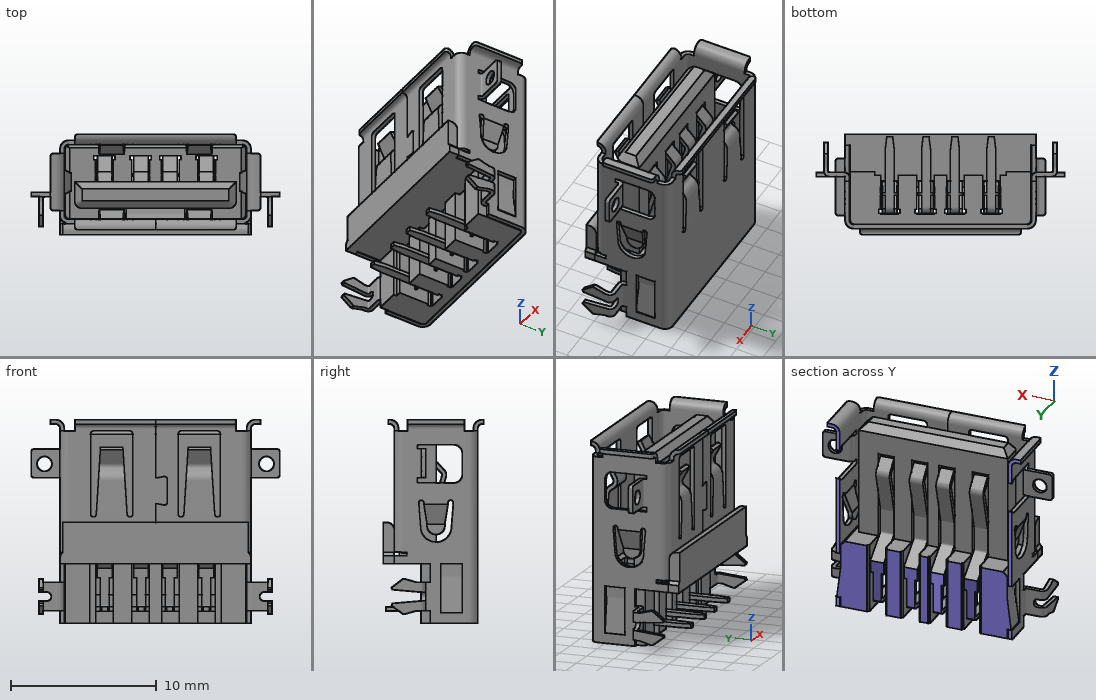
import cadquery as cq
import math


SHEET = 0.3
SHELL_HALF_X = 6.57
SHELL_HALF_Y = 2.87
SHELL_CORNER = 0.62
SHELL_TOP = 13.24
INNER_HALF_X = SHELL_HALF_X - SHEET
INNER_HALF_Y = SHELL_HALF_Y - SHEET
WALL_MID_X = SHELL_HALF_X - SHEET / 2
WALL_MID_Y = SHELL_HALF_Y - SHEET / 2

LIP_TOP = 14.0
LIP_BEND = 1.5 * SHEET
LIP_CORNER = 0.19
LONG_LIP_LENGTH = 11.08
LONG_LIP_REACH = 0.41
SIDE_LIP_LENGTH = 3.93
SIDE_LIP_REACH = 0.65

STEP_Z = 4.09
LOWER_EDGE_Y = -0.41
SLIT_BOTTOM = 4.65
SLIT_TOP = 4.89
SLIT_END_Y = -2.0

SEAM_X = 0.02
SEAM_GAP = 0.003
KEY_LENGTH = 0.82
KEY_MID_Z = 9.11
KEY_ROOT_HALF = 0.87
KEY_TIP_HALF = 1.03
KEY_ROOT_ROUND = 0.03
KEY_TIP_ROUND = 0.2

SPRING_X = 3.01
SPRING_WINDOW_HALF = 1.45
SPRING_WINDOW_TOP = SHELL_TOP
SPRING_WINDOW_CORNER = 0.24
SPRING_ROOT_Z = 7.47
SPRING_SLOT_END = 7.32
SPRING_ROOT_HALF = 1.06
SPRING_TIP_HALF = 0.77
SPRING_TIP_Z = 12.09
SPRING_KNEE = (-2.68, 10.15)
SPRING_PEAK = (-1.9, 10.65)
SPRING_END = (-2.67, 12.02)
SPRING_KNEE_BEND = 0.65
SPRING_PEAK_BEND = 0.48

EAR_WINDOW_Z = (9.66, 12.26)
EAR_WINDOW_Y = (-1.11, 1.8)
EAR_WINDOW_CORNER = 0.56
EAR_RELIEF_DEPTH = 0.17
EAR_Z = (10.0, 11.99)
EAR_MID_Y = -0.85
EAR_END_X = 8.55
EAR_HOLE_X = 7.63
EAR_HOLE_Z = 10.96
EAR_HOLE_DIAMETER = 1.01
EAR_CORNER = 0.2
TIGHT_BEND = 0.24

SIDE_TAB_ROOT_Z = 8.23
SIDE_TAB_BEND_Z = 6.82
SIDE_TAB_END_Z = 6.1
SIDE_TAB_OFFSET = 0.46
SIDE_TAB_ROOT_HALF = 0.84
SIDE_TAB_END_HALF = 0.62
SIDE_SLOT_TOP_HALF = 1.18
SIDE_SLOT_ARC_HALF = 1.05
SIDE_SLOT_ARC_Z = 6.45
SIDE_SLOT_TOP = 8.46
SIDE_SLOT_BOTTOM = 5.6

LEG_MID_Z = 1.85
LEG_PLATE_HALF = 1.0
LEG_PLATE_Y = -0.87
LEG_PRONG_X = 7.87
LEG_END_Y = -3.06
LEG_NOTCH_X = 7.16
LEG_NOTCH = 0.6
PRONG_ROOT_Y = -1.35
PRONG_TIP = ((-2.14, 1.21), (-2.27, 1.21), (LEG_END_Y, 0.62), (-3.0, 0.46))

LATCH_Y = (0.35, 1.8)
LATCH_Z = (0.74, 4.09)
LATCH_RAMP_TOP = 3.23
LATCH_HEIGHT = 0.3

BASE_HALF_X = 6.2
BASE_FRONT_Y = -2.53
BASE_CORNER = 0.29
BASE_TOP = 5.13
BASE_CHAMFER_X = 0.3
BASE_CHAMFER_Y = 0.22
BLOCK_FRONT_Y = -1.05
RIB_FRONT_Y = -0.8
RIB_ZONE_HALF = 4.51
FLANGE_FRONT_Y = -3.63
FLANGE_TOP = 6.95
FLANGE_HALF_X = 6.38
FLANGE_ROUND = 0.5
TONGUE_HALF_X = 5.55
TONGUE_Y = (-1.81, 0.03)
TONGUE_TOP = 13.51
TONGUE_CORNER = 0.53
TONGUE_BEVEL = 0.51
RAMP_HALF_X = 2.02
RAMP_MID_Y = -2.19
RAMP_MID_RISE = 0.07
RAMP_RISE = 0.19
GROOVE_FLOOR_Y = -0.45
GROOVE_TOP = 11.45
CHANNEL_WIDTH = 1.2
CHANNEL_SHIFT = 0.025
CHANNEL_BACK_Y = 1.8
WIDE_SLOT_WIDTH = 1.44
WIDE_SLOT_DEPTH = 0.25
RELIEF_TOP = 1.97
RELIEF_DEPTH = 0.09

CONTACT_XS = (-3.49, -1.0, 1.0, 3.49)
CONTACT_WIDTH = 1.01
PIN_WIDTH = 0.62
PIN_TIP_WIDTH = 0.41
PIN_TAPER = 0.85
PIN_MID_Z = 1.0
PIN_END_Y = -3.44
CONTACT_NARROW_Z = 3.13
CONTACT_PLATE_Y = CHANNEL_BACK_Y - SHEET / 2
CONTACT_PLATE_TOP = 3.86
CONTACT_GROOVE_Y = -0.25
CONTACT_LINK_TOP = 5.3
CONTACT_SPRING_START = 7.18
CONTACT_PEAK = (0.6, 10.3)
CONTACT_END = (-0.2, 11.15)
PIN_BEND = 0.27
CONTACT_BEND = 0.35
BARB_Y = (0.41, 0.56)


def box(x_range, y_range, z_range):
    """Axis-aligned block between the given limits."""
    sizes = [high - low for low, high in (x_range, y_range, z_range)]
    corner = (x_range[0], y_range[0], z_range[0])
    return cq.Workplane("XY").box(*sizes, centered=False).translate(corner)


def both_sides(body):
    """A left-hand feature together with its mirror image on the right."""
    return body.union(body.mirror("YZ"))


def bent_strip(plane, path, width, radii, thickness=SHEET):
    """Sheet strip along a centre-line path, with one centre radius per bend; 0 gives a sharp bend."""
    points = [cq.Vector(*point) for point in path]
    directions = [(end - start).normalized() for start, end in zip(points, points[1:])]
    normals = [cq.Vector(-d.y, d.x) for d in directions]

    def side(shift):
        pieces = [[points[0] + normals[0] * shift]]
        for i, corner in enumerate(points[1:-1]):
            turn = directions[i].getAngle(directions[i + 1])
            bisector = (normals[i] + normals[i + 1]).normalized()
            radius = radii[i]
            if radius == 0:
                pieces.append([corner + bisector * (shift / math.cos(turn / 2))])
                continue
            trim = radius * math.tan(turn / 2)
            bulge = radius / math.cos(turn / 2) - radius
            left_turn = directions[i].cross(directions[i + 1]).z > 0
            middle = corner + bisector * (bulge if left_turn else -bulge)
            start = corner - directions[i] * trim + normals[i] * shift
            end = corner + directions[i + 1] * trim + normals[i + 1] * shift
            pieces.append([start, middle + bisector * shift, end])
        pieces.append([points[-1] + normals[-1] * shift])
        return pieces

    left = side(thickness / 2)
    right = [piece[::-1] for piece in side(-thickness / 2)[::-1]]
    pieces = left + right
    outline = cq.Workplane(plane).moveTo(pieces[0][0].x, pieces[0][0].y)
    for piece in pieces[1:]:
        outline = outline.lineTo(piece[0].x, piece[0].y)
        if len(piece) == 3:
            outline = outline.threePointArc((piece[1].x, piece[1].y), (piece[2].x, piece[2].y))
    return outline.close().extrude(width / 2, both=True)


def rounded_prism(half_x, half_y, corner, bottom, top):
    """Upright prism with rounded vertical edges."""
    prism = box((-half_x, half_x), (-half_y, half_y), (bottom, top))
    return prism.edges("|Z").fillet(corner)


def shell_walls():
    outer = rounded_prism(SHELL_HALF_X, SHELL_HALF_Y, SHELL_CORNER, 0, SHELL_TOP)
    inner = rounded_prism(INNER_HALF_X, INNER_HALF_Y, SHELL_CORNER - SHEET, 0, SHELL_TOP)
    full_x = (-SHELL_HALF_X, SHELL_HALF_X)
    walls = outer.cut(inner)
    walls = walls.cut(box(full_x, (-SHELL_HALF_Y, LOWER_EDGE_Y), (0, STEP_Z)))
    walls = walls.cut(box(full_x, (-SHELL_HALF_Y, SLIT_END_Y), (STEP_Z, SLIT_TOP)))
    strip = box(
        (-SHELL_HALF_X, -INNER_HALF_X), (-SHELL_HALF_Y, SLIT_END_Y), (STEP_Z, SLIT_BOTTOM)
    )
    return walls.union(both_sides(strip))


def lip(half_span, reach, length, wall_mid):
    """Flared lip rising from a wall that lies at -Y, centred on X = 0."""
    lip_mid_z = LIP_TOP - SHEET / 2
    end_y = -half_span - reach
    path = [(-wall_mid, SHELL_TOP - 2 * SHEET), (-wall_mid, lip_mid_z), (end_y, lip_mid_z)]
    strip = bent_strip("YZ", path, length, [LIP_BEND])
    trim = box((-length / 2, length / 2), (end_y, 0), (0, LIP_TOP)).edges("|Z and <Y").fillet(LIP_CORNER)
    return strip.intersect(trim)


def all_lips():
    front = lip(SHELL_HALF_Y, LONG_LIP_REACH, LONG_LIP_LENGTH, WALL_MID_Y)
    side = lip(SHELL_HALF_X, SIDE_LIP_REACH, SIDE_LIP_LENGTH, WALL_MID_X)
    left = side.rotate((0, 0, 0), (0, 0, 1), -90)
    return front.union(front.mirror("XZ")).union(both_sides(left))


def spring_window(x):
    """Opening for one pair of contact springs, through the front and back walls."""
    depth = (-SHELL_HALF_Y, SHELL_HALF_Y)
    edges_x = (x - SPRING_WINDOW_HALF, x + SPRING_WINDOW_HALF)
    window = box(edges_x, depth, (SPRING_ROOT_Z, SPRING_WINDOW_TOP))
    window = window.edges("|Y and >Z").fillet(SPRING_WINDOW_CORNER)
    slot_width = SPRING_WINDOW_HALF - SPRING_ROOT_HALF
    slot_offset = SPRING_ROOT_HALF + slot_width / 2
    for slot_x in (x - slot_offset, x + slot_offset):
        end = (
            cq.Workplane("XZ")
            .center(slot_x, SPRING_SLOT_END + slot_width / 2)
            .circle(slot_width / 2)
            .extrude(SHELL_HALF_Y, both=True)
        )
        window = window.union(end)
    return window


def spring(x):
    """Tapered spring on the front wall: it leans inward, then flares back out at its tip."""
    path = [
        (-WALL_MID_Y, SPRING_ROOT_Z - SHEET),
        (-WALL_MID_Y, SPRING_ROOT_Z),
        SPRING_KNEE,
        SPRING_PEAK,
        SPRING_END,
    ]
    strip = bent_strip("YZ", path, 2 * SPRING_ROOT_HALF, [0, SPRING_KNEE_BEND, SPRING_PEAK_BEND])
    taper = (
        cq.Workplane("XZ")
        .moveTo(-SPRING_ROOT_HALF, SPRING_ROOT_Z - SHEET)
        .lineTo(SPRING_ROOT_HALF, SPRING_ROOT_Z - SHEET)
        .lineTo(SPRING_ROOT_HALF, SPRING_ROOT_Z)
        .lineTo(SPRING_TIP_HALF, SPRING_TIP_Z)
        .lineTo(-SPRING_TIP_HALF, SPRING_TIP_Z)
        .lineTo(-SPRING_ROOT_HALF, SPRING_ROOT_Z)
        .close()
        .extrude(SHELL_HALF_Y)
    )
    return strip.intersect(taper).translate((x, 0, 0))


def ear_window():
    """Opening left by the ear in the left wall, with relief cuts above and below the ear's bend."""
    depth = (-SHELL_HALF_X, -INNER_HALF_X)
    window = box(depth, EAR_WINDOW_Y, EAR_WINDOW_Z).edges("|X and >Y").fillet(EAR_WINDOW_CORNER)
    relief_y = (EAR_WINDOW_Y[0] - EAR_RELIEF_DEPTH, EAR_WINDOW_Y[0])
    for relief_z in ((EAR_WINDOW_Z[0], EAR_Z[0]), (EAR_Z[1], EAR_WINDOW_Z[1])):
        relief = box(depth, relief_y, relief_z).edges("|X and <Y").fillet(EAR_RELIEF_DEPTH / 2)
        window = window.union(relief)
    return window


def ear():
    """Mounting ear on the left wall, bent outward and pierced by a round hole."""
    middle_z = sum(EAR_Z) / 2
    path = [
        (-WALL_MID_X, EAR_WINDOW_Y[0] - SHEET),
        (-WALL_MID_X, EAR_MID_Y),
        (-EAR_END_X, EAR_MID_Y),
    ]
    plate = bent_strip("XY", path, EAR_Z[1] - EAR_Z[0], [TIGHT_BEND]).translate((0, 0, middle_z))
    plate = plate.edges("|Y and <X").fillet(EAR_CORNER)
    hole = (
        cq.Workplane("XZ")
        .center(-EAR_HOLE_X, EAR_HOLE_Z)
        .circle(EAR_HOLE_DIAMETER / 2)
        .extrude(SHELL_HALF_Y)
    )
    return plate.cut(hole)


def side_slot():
    """U-shaped opening around the side tab in the left wall."""
    slot_width = SIDE_SLOT_TOP_HALF - SIDE_TAB_ROOT_HALF
    opening = (
        cq.Workplane("YZ")
        .moveTo(-SIDE_SLOT_TOP_HALF, SIDE_TAB_ROOT_Z)
        .lineTo(-SIDE_SLOT_ARC_HALF, SIDE_SLOT_ARC_Z)
        .threePointArc((0, SIDE_SLOT_BOTTOM), (SIDE_SLOT_ARC_HALF, SIDE_SLOT_ARC_Z))
        .lineTo(SIDE_SLOT_TOP_HALF, SIDE_TAB_ROOT_Z)
        .close()
        .extrude(-SHELL_HALF_X)
    )
    slot_mid = SIDE_TAB_ROOT_HALF + slot_width / 2
    for y in (-slot_mid, slot_mid):
        end = (
            cq.Workplane("YZ")
            .center(y, SIDE_SLOT_TOP - slot_width / 2)
            .circle(slot_width / 2)
            .extrude(-SHELL_HALF_X)
        )
        opening = opening.union(end)
    return opening


def side_tab():
    """Grounding tab on the left wall, hanging from its root and pressed inward."""
    inner_x = -WALL_MID_X + SIDE_TAB_OFFSET
    path = [
        (-WALL_MID_X, SIDE_TAB_ROOT_Z + SHEET),
        (-WALL_MID_X, SIDE_TAB_ROOT_Z),
        (inner_x, SIDE_TAB_BEND_Z),
        (inner_x, SIDE_TAB_END_Z),
    ]
    strip = bent_strip("XZ", path, 2 * SIDE_TAB_ROOT_HALF, [0, 0])
    outline = (
        cq.Workplane("YZ")
        .moveTo(-SIDE_TAB_ROOT_HALF, SIDE_TAB_ROOT_Z + SHEET)
        .lineTo(-SIDE_TAB_ROOT_HALF, SIDE_TAB_ROOT_Z)
        .lineTo(-SIDE_TAB_END_HALF, SIDE_TAB_BEND_Z)
        .threePointArc((0, SIDE_TAB_END_Z), (SIDE_TAB_END_HALF, SIDE_TAB_BEND_Z))
        .lineTo(SIDE_TAB_ROOT_HALF, SIDE_TAB_ROOT_Z)
        .lineTo(SIDE_TAB_ROOT_HALF, SIDE_TAB_ROOT_Z + SHEET)
        .close()
        .extrude(-SHELL_HALF_X)
    )
    return strip.intersect(outline)


def solder_leg():
    """Forked leg on the left wall: a plate bent outward whose two prongs point to -Y."""
    path = [
        (-WALL_MID_X, LOWER_EDGE_Y + SHEET),
        (-WALL_MID_X, LEG_PLATE_Y),
        (-LEG_PRONG_X, LEG_PLATE_Y),
        (-LEG_PRONG_X, LEG_END_Y),
    ]
    blank_height = 4 * LEG_PLATE_HALF
    strip = bent_strip("XY", path, blank_height, [TIGHT_BEND, TIGHT_BEND])
    strip = strip.translate((0, 0, LEG_MID_Z))
    upper_edge = [
        (LOWER_EDGE_Y + SHEET, LEG_PLATE_HALF),
        (PRONG_ROOT_Y, LEG_PLATE_HALF),
        *PRONG_TIP,
        (LEG_PLATE_Y - TIGHT_BEND, LEG_NOTCH / 2),
    ]
    lower_edge = [(y, -height) for y, height in reversed(upper_edge)]
    outline = (
        cq.Workplane("YZ", origin=(0, 0, LEG_MID_Z))
        .polyline(upper_edge + lower_edge)
        .close()
        .extrude(-EAR_END_X)
    )
    notch_length = EAR_END_X - LEG_NOTCH_X
    notch = (
        cq.Workplane("XZ")
        .center(-LEG_NOTCH_X - notch_length / 2, LEG_MID_Z)
        .slot2D(notch_length, LEG_NOTCH)
        .extrude(SHELL_HALF_Y + SHEET)
    )
    return strip.intersect(outline).cut(notch)


def seam():
    """Hairline joint down the front wall, stepping around a dovetail key."""
    key_bottom = KEY_MID_Z - KEY_ROOT_HALF
    key_top = KEY_MID_Z + KEY_ROOT_HALF
    path = [
        (SEAM_X, LIP_TOP),
        (SEAM_X, key_top),
        (KEY_LENGTH, KEY_MID_Z + KEY_TIP_HALF),
        (KEY_LENGTH, KEY_MID_Z - KEY_TIP_HALF),
        (SEAM_X, key_bottom),
        (SEAM_X, SLIT_TOP),
    ]
    rounds = [KEY_ROOT_ROUND, KEY_TIP_ROUND, KEY_TIP_ROUND, KEY_ROOT_ROUND]
    joint = bent_strip("XZ", path, 2 * SHELL_HALF_Y, rounds, SEAM_GAP)
    return joint.translate((0, -SHELL_HALF_Y - LONG_LIP_REACH, 0))


def latch_window():
    return box((-SHELL_HALF_X, -INNER_HALF_X), LATCH_Y, LATCH_Z)


def make_shell():
    shell = shell_walls().union(all_lips())
    for x in (-SPRING_X, SPRING_X):
        shell = shell.cut(spring_window(x))
        front_spring = spring(x)
        shell = shell.union(front_spring).union(front_spring.mirror("XZ"))
    shell = shell.cut(both_sides(ear_window().union(side_slot()).union(latch_window())))
    shell = shell.union(both_sides(ear())).union(both_sides(side_tab())).union(both_sides(solder_leg()))
    return shell.cut(seam())


def insulator_base():
    """Plug filling the bottom of the shell, bevelled along the back and sides of its top."""
    full_x = (-BASE_HALF_X, BASE_HALF_X)
    base = box(full_x, (BASE_FRONT_Y, INNER_HALF_Y), (0, BASE_TOP)).edges("|Z").fillet(BASE_CORNER)
    bevel_side = (
        cq.Workplane("XZ")
        .polyline([
            (-BASE_HALF_X, BASE_TOP),
            (-BASE_HALF_X + BASE_CHAMFER_X, BASE_TOP),
            (-BASE_HALF_X, BASE_TOP - BASE_CHAMFER_X),
        ])
        .close()
        .extrude(INNER_HALF_Y, both=True)
    )
    bevel_back = (
        cq.Workplane("YZ")
        .polyline([
            (INNER_HALF_Y, BASE_TOP),
            (INNER_HALF_Y - BASE_CHAMFER_Y, BASE_TOP),
            (INNER_HALF_Y, BASE_TOP - BASE_CHAMFER_X),
        ])
        .close()
        .extrude(BASE_HALF_X, both=True)
    )
    base = base.cut(both_sides(bevel_side)).cut(bevel_back)
    rib_zone = (-RIB_ZONE_HALF, RIB_ZONE_HALF)
    base = base.cut(box(full_x, (BASE_FRONT_Y, BLOCK_FRONT_Y), (0, STEP_Z)))
    return base.cut(box(rib_zone, (BLOCK_FRONT_Y, RIB_FRONT_Y), (0, STEP_Z)))


def flange():
    """Upright plate in front of the shell, joined to the base by a shelf under the front wall."""
    plate = (
        cq.Workplane("XZ", origin=(0, -SHELL_HALF_Y, 0))
        .polyline([
            (-SHELL_HALF_X, STEP_Z),
            (SHELL_HALF_X, STEP_Z),
            (SHELL_HALF_X, SLIT_BOTTOM),
            (FLANGE_HALF_X, SLIT_TOP),
            (FLANGE_HALF_X, FLANGE_TOP),
            (-FLANGE_HALF_X, FLANGE_TOP),
            (-FLANGE_HALF_X, SLIT_TOP),
            (-SHELL_HALF_X, SLIT_BOTTOM),
        ])
        .close()
        .extrude(-SHELL_HALF_Y - FLANGE_FRONT_Y)
        .edges(">Z and >Y")
        .fillet(FLANGE_ROUND)
    )
    shelf = box((-BASE_HALF_X, BASE_HALF_X), (-SHELL_HALF_Y, SLIT_END_Y), (STEP_Z, SLIT_BOTTOM))
    return plate.union(shelf)


def tongue():
    blade = box((-TONGUE_HALF_X, TONGUE_HALF_X), TONGUE_Y, (STEP_Z, TONGUE_TOP))
    blade = blade.edges("|Z and <Y").fillet(TONGUE_CORNER)
    return blade.faces(">Z").chamfer(TONGUE_BEVEL)


def ramp():
    """Low ramp rising from the foot of the tongue to the front wall."""
    return (
        cq.Workplane("YZ")
        .polyline([
            (TONGUE_Y[0], BASE_TOP),
            (RAMP_MID_Y, BASE_TOP + RAMP_MID_RISE),
            (BASE_FRONT_Y, BASE_TOP + RAMP_RISE),
            (BASE_FRONT_Y, BASE_TOP),
        ])
        .close()
        .extrude(RAMP_HALF_X, both=True)
    )


def latch():
    """Barb on the left side that snaps into the shell's latch window."""
    return (
        cq.Workplane("XZ", origin=(0, LATCH_Y[1], 0))
        .polyline([
            (-BASE_HALF_X, LATCH_RAMP_TOP),
            (-BASE_HALF_X - LATCH_HEIGHT, LATCH_Z[0]),
            (-BASE_HALF_X, LATCH_Z[0]),
        ])
        .close()
        .extrude(LATCH_Y[1] - LATCH_Y[0])
    )


def channel_middle(contact_x):
    """Channels sit slightly further out than the contacts in them."""
    return contact_x + math.copysign(CHANNEL_SHIFT, contact_x)


def contact_channel(contact_x):
    """Space for one contact: a groove in the tongue and a slot down through the base."""
    middle = channel_middle(contact_x)
    walls = (middle - CHANNEL_WIDTH / 2, middle + CHANNEL_WIDTH / 2)
    wide_walls = (middle - WIDE_SLOT_WIDTH / 2, middle + WIDE_SLOT_WIDTH / 2)
    channel = box(walls, (GROOVE_FLOOR_Y, CHANNEL_BACK_Y), (0, GROOVE_TOP))
    channel = channel.union(box(walls, (RIB_FRONT_Y, CHANNEL_BACK_Y), (0, STEP_Z)))
    wide_slot = box(wide_walls, (CHANNEL_BACK_Y - WIDE_SLOT_DEPTH, CHANNEL_BACK_Y), (0, BASE_TOP))
    relief = box(walls, (CHANNEL_BACK_Y, CHANNEL_BACK_Y + RELIEF_DEPTH), (0, RELIEF_TOP))
    return channel.union(wide_slot).union(relief)


def make_insulator():
    insulator = insulator_base().union(flange()).union(tongue()).union(ramp())
    insulator = insulator.union(both_sides(latch()))
    for x in CONTACT_XS:
        insulator = insulator.cut(contact_channel(x))
    return insulator


def make_contact(x):
    """Solder pin, upright plate, slanted link to the tongue and bowed spring end, in one strip."""
    path = [
        (PIN_END_Y, PIN_MID_Z),
        (CONTACT_PLATE_Y, PIN_MID_Z),
        (CONTACT_PLATE_Y, CONTACT_PLATE_TOP),
        (CONTACT_GROOVE_Y, CONTACT_LINK_TOP),
        (CONTACT_GROOVE_Y, CONTACT_SPRING_START),
        CONTACT_PEAK,
        CONTACT_END,
    ]
    strip = bent_strip("YZ", path, CONTACT_WIDTH, [PIN_BEND, 0, CONTACT_BEND, CONTACT_BEND, CONTACT_BEND])
    narrow_x = (-PIN_WIDTH / 2, PIN_WIDTH / 2)
    wide_x = (-CONTACT_WIDTH / 2, CONTACT_WIDTH / 2)
    depth = (PIN_END_Y, SHELL_HALF_Y)
    outline = box(narrow_x, depth, (0, CONTACT_NARROW_Z))
    outline = outline.edges("|Z and <Y").chamfer(PIN_TAPER, (PIN_WIDTH - PIN_TIP_WIDTH) / 2)
    outline = outline.union(box(wide_x, depth, (CONTACT_NARROW_Z, TONGUE_TOP)))
    contact = strip.intersect(outline).translate((x, 0, 0))
    middle = channel_middle(x)
    barb_x = (middle - CHANNEL_WIDTH / 2, middle + CHANNEL_WIDTH / 2)
    barb_z = (PIN_MID_Z - SHEET / 2, PIN_MID_Z + SHEET / 2)
    return contact.union(box(barb_x, BARB_Y, barb_z))


shell = make_shell().solids()
insulator = make_insulator().solids()
contacts = [make_contact(x).solids() for x in CONTACT_XS]

result = cq.Compound.makeCompound([shell.val(), insulator.val(), *[contact.val() for contact in contacts]])